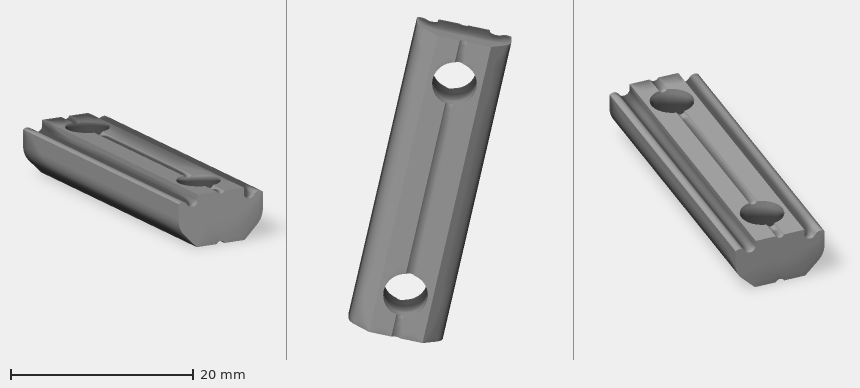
import cadquery as cq
import math

length = 35.0
width = 10.6
height = 6.0
half_width = width / 2

land_half_width = 2.9
bottom_half_width = 3.0
side_round_radius = 2.5
groove_radius = 0.7
groove_depth = 1.33
rib_radius = 0.7
rib_drop = 0.6
center_groove_half_width = 0.5
center_groove_depth = 0.3

hole_diameter = 4.9
hole_spacing = 25.0

groove_y = land_half_width + groove_radius
groove_z = height - groove_depth + groove_radius

rib_z = height - rib_drop - rib_radius
center_distance = groove_radius + rib_radius
rib_y = groove_y + math.sqrt(center_distance**2 - (groove_z - rib_z) ** 2)
tangent_share = groove_radius / center_distance
tangent_y = groove_y + (rib_y - groove_y) * tangent_share
tangent_z = groove_z + (rib_z - groove_z) * tangent_share
rib_edge_z = rib_z + math.sqrt(rib_radius**2 - (half_width - rib_y) ** 2)

flank_angle = math.radians(45)
flank_corner_z = (half_width - bottom_half_width) * math.tan(flank_angle)
round_center_y = half_width - side_round_radius
round_top_z = flank_corner_z + side_round_radius * math.tan(flank_angle / 2)


def side_round_point(angle):
    """Point on the side round, at an angle below horizontal."""
    return (
        round_center_y + side_round_radius * math.cos(angle),
        round_top_z - side_round_radius * math.sin(angle),
    )


def half_body():
    """The +Y half of the bar, without its centre grooves and holes."""
    return (
        cq.Workplane("YZ")
        .moveTo(0, 0)
        .lineTo(bottom_half_width, 0)
        .lineTo(*side_round_point(flank_angle))
        .threePointArc(side_round_point(flank_angle / 2), (half_width, round_top_z))
        .lineTo(half_width, rib_edge_z)
        .threePointArc((rib_y, rib_z + rib_radius), (tangent_y, tangent_z))
        .threePointArc((groove_y, groove_z - groove_radius), (land_half_width, groove_z))
        .lineTo(land_half_width, height)
        .lineTo(0, height)
        .close()
        .extrude(length / 2, both=True)
    )


def center_groove(face_z, bottom_z):
    """Cutter for a shallow round groove running along the middle of a face."""
    return (
        cq.Workplane("YZ")
        .moveTo(-center_groove_half_width, face_z)
        .threePointArc((0, bottom_z), (center_groove_half_width, face_z))
        .close()
        .extrude(length / 2, both=True)
    )


half = half_body()
bar = half.union(half.mirror("XZ"))
bar = bar.cut(center_groove(height, height - center_groove_depth))
bar = bar.cut(center_groove(0, center_groove_depth))

holes = (
    cq.Workplane("XY")
    .pushPoints([(-hole_spacing / 2, 0), (hole_spacing / 2, 0)])
    .circle(hole_diameter / 2)
    .extrude(height)
)
result = bar.cut(holes)